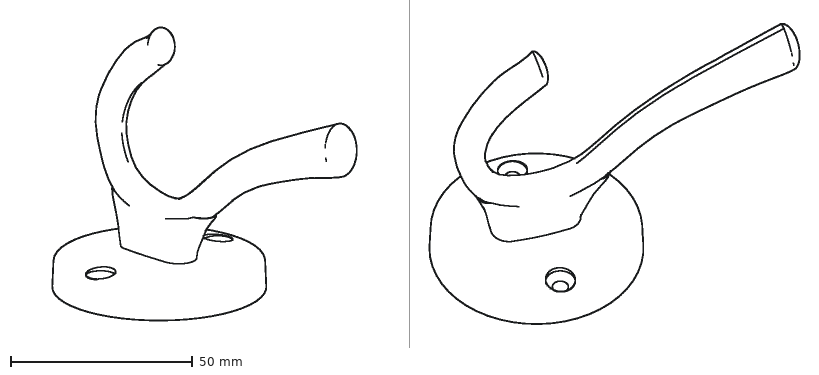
import cadquery as cq
import math

base_radius = 29.6
shoulder_radius = 29.3
shoulder_height = 7.3
rim_radius = 28.4
rim_height = 8.3
dome_height = 10.6
dome_rise = dome_height - rim_height
dome_radius = (rim_radius**2 + dome_rise**2) / (2 * dome_rise)
rounding_radius = rim_radius + (shoulder_radius - rim_radius) * math.cos(math.radians(45))
rounding_height = shoulder_height + (rim_height - shoulder_height) * math.sin(math.radians(45))

hole_offset = 22.3
hole_diameter = 4.4
sink_diameter = 8.2
sink_depth = 2.1
sink_top = 8.4

hook_tip = (0.6, 70.1, 192, 10.5, 9.8)
handle_tip = (72.4, 57.2, 7.0, 15.0, 11.3)
bar_stations = [
    hook_tip,
    (-5.6, 65.5, 213, 10.2, 9.5),
    (-12.2, 59.5, 225, 9.6, 9.3),
    (-17.3, 51.8, 250, 9.2, 8.9),
    (-19.4, 43.2, 270, 8.7, 8.4),
    (-18.0, 35.8, 292, 8.0, 8.1),
    (-14.8, 29.4, 308, 8.4, 8.2),
    (-8.3, 24.6, 332, 8.2, 9.8),
    (1.0, 22.4, 0, 8.2, 11.4),
    (11.9, 24.9, 33, 8.4, 9.6),
    (19.6, 30.1, 43, 9.5, 8.2),
    (26.3, 36.0, 38, 9.7, 8.1),
    (36.5, 42.8, 30, 10.4, 8.3),
    (46.6, 47.6, 25, 11.6, 9.3),
    (57.0, 51.7, 22, 12.6, 9.9),
    (68.2, 55.6, 13, 14.4, 10.9),
    handle_tip,
]
hook_cap_height = 2.0
handle_cap_height = 3.0

stem_stations = [
    (9.5, -12.8, 12.8, 5.9),
    (13.7, -13.8, 13.6, 5.9),
    (17.2, -14.4, 15.3, 5.9),
    (21.0, -15.6, 17.6, 5.8),
    (22.8, -16.3, 19.3, 5.4),
    (25.3, -17.4, 21.3, 3.5),
]
stem_end_length = 5.3
stem_end_ratio = 0.91


def make_screw_hole():
    """Through hole with a cone and a short wall above it."""
    profile = (
        cq.Workplane("XZ")
        .lineTo(hole_diameter / 2, 0)
        .lineTo(hole_diameter / 2, sink_top - sink_depth)
        .lineTo(sink_diameter / 2, sink_top)
        .lineTo(sink_diameter / 2, dome_height)
        .lineTo(0, dome_height)
        .close()
    )
    return profile.revolve(360, (0, 0, 0), (0, 1, 0))


def make_base():
    profile = (
        cq.Workplane("XZ")
        .lineTo(base_radius, 0)
        .lineTo(shoulder_radius, shoulder_height)
        .threePointArc((rounding_radius, rounding_height), (rim_radius, rim_height))
        .radiusArc((0, dome_height), -dome_radius)
        .close()
    )
    base = profile.revolve(360, (0, 0, 0), (0, 1, 0))
    screw_hole = make_screw_hole()
    for side in (-1, 1):
        base = base.cut(screw_hole.translate((0, side * hole_offset, 0)))
    return base


def section_plane(station, turn=0):
    """Plane across the bar at a station, its normal turned from the heading by turn degrees."""
    x, z, heading = station[:3]
    angle = math.radians(heading + turn)
    return cq.Plane(origin=(x, 0, z), xDir=(0, 1, 0), normal=(math.cos(angle), 0, math.sin(angle)))


def make_bar():
    wires = []
    for station in bar_stations:
        thickness, width = station[3:]
        section = cq.Workplane(section_plane(station)).ellipse(width / 2, thickness / 2)
        wires.append(section.wires().val())
    return cq.Workplane(cq.Solid.makeLoft(wires))


def make_cap(station, turn, height):
    """Half ellipsoid standing on the end section of the bar."""
    thickness, width = station[3:]
    dome = cq.Workplane("XY").sphere(1, angle1=0).val()
    stretch = cq.Matrix([
        [width / 2, 0, 0, 0],
        [0, thickness / 2, 0, 0],
        [0, 0, height, 0],
    ])
    cap = dome.transformGeometry(stretch)
    return cq.Workplane(cap.moved(cq.Location(section_plane(station, turn))))


def make_stem():
    wires = []
    for z, left, right, half in stem_stations:
        shoulder = half * stem_end_ratio
        middle = (left + right) / 2
        near = left + stem_end_length
        far = right - stem_end_length
        section = (
            cq.Workplane("XY", origin=(0, 0, z))
            .moveTo(near, -shoulder)
            .threePointArc((middle, -half), (far, -shoulder))
            .threePointArc((right, 0), (far, shoulder))
            .threePointArc((middle, half), (near, shoulder))
            .threePointArc((left, 0), (near, -shoulder))
            .close()
        )
        wires.append(section.wires().val())
    return cq.Workplane(cq.Solid.makeLoft(wires))


def make_hook():
    hook = make_bar()
    hook = hook.union(make_cap(hook_tip, 180, hook_cap_height))
    hook = hook.union(make_cap(handle_tip, 0, handle_cap_height))
    return hook.union(make_stem())


base = make_base()
hook = make_hook().cut(base)

result = cq.Compound.makeCompound([base.solids().val(), hook.solids().val()])